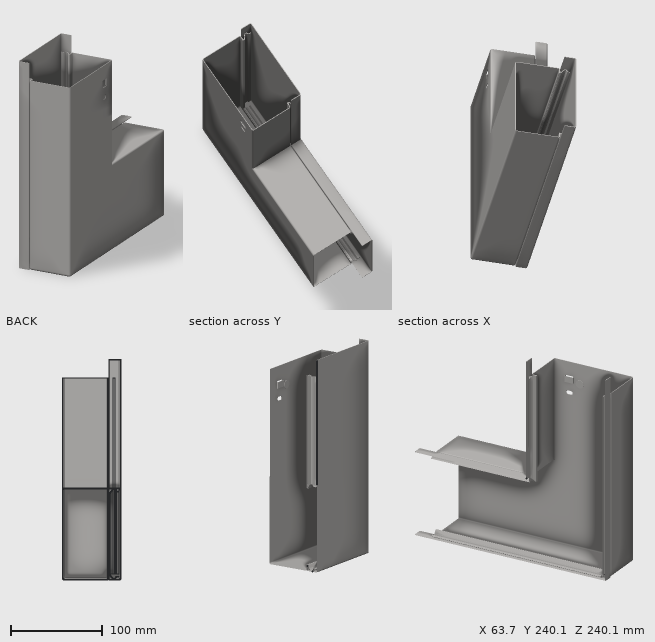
import cadquery as cq

COVER_LENGTH_Y = 240.09
COVER_LENGTH_Z = 240.06
BASE_LENGTH = 220.0
ARM_WIDTH = 100.0
TOTAL_DEPTH = 63.68

COVER_SHEET = 0.8
COVER_DEPTH = 13.3
COVER_BEND = 2.0
COVER_EDGE_ROUND = 0.7

BASE_SHEET = 0.7
BASE_FRONT = 13.9
CORNER_ROUND = 2.7
FLOOR_BEND = 2.0
SHOULDER_BEND = 1.5
BASE_FLOOR_INSIDE = TOTAL_DEPTH - BASE_SHEET

RAIL_DEPTH = 6.8
RAIL_TIP_X = 2.3
RAIL_STEP_X = 4.7
RAIL_CREST_X = 6.5
RAIL_SLOPE_X = 8.8
RAIL_SLOPE_DEPTH = 1.0
RAIL_KINK_X = 10.8
RAIL_KINK_DEPTH = 2.9
RAIL_STEP_DEPTH = 3.2
RAIL_CREST_DEPTH = COVER_SHEET
RAIL_RIDGE_X = 12.9
RAIL_ROOT_DEPTH = 2.5

SLOT_Y = 80.7
SLOT_Z = 183.0
SLOT_LENGTH = 8.0
SLOT_WIDTH = 4.5
LUG_Z = 199.0
LUG_WIDTH = 11.0
WINDOW_WIDTH = LUG_WIDTH - 2 * BASE_SHEET
WINDOW_HEIGHT = 8.6
LUG_HEIGHT = 7.0
LUG_RISE = 1.6
BOSS_Y = 67.7
BOSS_Z = 196.0
BOSS_DIAMETER = 9.7
BOSS_RISE = 0.5

SWAP_ARMS = (0, 1, -1)


def l_prism(x_start, x_end, inset, reach):
    """L-shaped block between two X planes, its sides moved in by inset."""
    far = ARM_WIDTH - inset
    return (
        cq.Workplane("YZ", origin=(x_start, 0, 0))
        .moveTo(inset, inset)
        .lineTo(reach, inset)
        .lineTo(reach, far)
        .lineTo(far, far)
        .lineTo(far, reach)
        .lineTo(inset, reach)
        .close()
        .extrude(x_end - x_start)
    )


def upright_side(depth):
    """Wedge of space on the upright arm's side of the mitre plane."""
    reach = max(COVER_LENGTH_Y, COVER_LENGTH_Z)
    return (
        cq.Workplane("YZ")
        .polyline([(0, 0), (reach, reach), (0, reach)])
        .close()
        .extrude(depth)
    )


def upright_cover(length):
    """One mitred cover: a shallow channel open toward +X."""
    outside = (
        cq.Workplane("XY")
        .rect(COVER_DEPTH, ARM_WIDTH, centered=False)
        .extrude(length)
        .edges("|Z and <X")
        .fillet(COVER_BEND)
        .edges("|Z and >X")
        .fillet(COVER_EDGE_ROUND)
    )
    inside = (
        cq.Workplane("XY", origin=(COVER_SHEET, COVER_SHEET, 0))
        .rect(COVER_DEPTH, ARM_WIDTH - 2 * COVER_SHEET, centered=False)
        .extrude(length)
        .edges("|Z and <X")
        .fillet(COVER_BEND - COVER_SHEET)
    )
    return outside.cut(inside).intersect(upright_side(COVER_DEPTH))


def round_corner(block, inset, radius):
    """Round the block's edge along X at the outer corner of the L."""
    corner = (TOTAL_DEPTH / 2, inset, inset)
    return block.edges(cq.selectors.NearestToPointSelector(corner)).fillet(radius)


def bend_long_edges(block, side, radius):
    """Round the edges of one X face, leaving the two open arm ends square."""
    return block.faces(side).edges("not (>Y or >Z)").fillet(radius)


def base_tub():
    """L-shaped tub with open ends and a shoulder turned in along its front."""
    outside = l_prism(BASE_FRONT, TOTAL_DEPTH, 0, BASE_LENGTH)
    outside = round_corner(outside, 0, CORNER_ROUND)
    inner_reach = BASE_LENGTH + BASE_SHEET
    inside = l_prism(BASE_FRONT + BASE_SHEET, BASE_FLOOR_INSIDE, BASE_SHEET, inner_reach)
    inside = round_corner(inside, BASE_SHEET, CORNER_ROUND - BASE_SHEET)
    outside = bend_long_edges(outside, ">X", FLOOR_BEND)
    outside = bend_long_edges(outside, "<X", SHOULDER_BEND)
    inside = bend_long_edges(inside, ">X", FLOOR_BEND - BASE_SHEET)
    mouth = l_prism(0, TOTAL_DEPTH / 2, RAIL_DEPTH, inner_reach)
    return outside.cut(inside).cut(mouth)


def rail_profile():
    """Closed snap-rail outline as (x, depth) points."""
    t = BASE_SHEET
    return [
        (BASE_FRONT + t, RAIL_ROOT_DEPTH),
        (BASE_FRONT, RAIL_ROOT_DEPTH),
        (RAIL_RIDGE_X, RAIL_DEPTH - t),
        (RAIL_KINK_X, RAIL_KINK_DEPTH),
        (RAIL_SLOPE_X, RAIL_SLOPE_DEPTH),
        (RAIL_CREST_X, RAIL_CREST_DEPTH),
        (RAIL_STEP_X, RAIL_STEP_DEPTH),
        (RAIL_TIP_X, RAIL_STEP_DEPTH),
        (RAIL_TIP_X, RAIL_STEP_DEPTH + t),
        (RAIL_STEP_X + t, RAIL_STEP_DEPTH + t),
        (RAIL_CREST_X + t / 2, RAIL_CREST_DEPTH + t),
        (RAIL_SLOPE_X - t / 2, RAIL_SLOPE_DEPTH + t),
        (RAIL_KINK_X - t / 2, RAIL_KINK_DEPTH + t),
        (RAIL_RIDGE_X - t, RAIL_DEPTH),
        (RAIL_RIDGE_X + t, RAIL_DEPTH),
    ]


def upright_rails():
    """Rails of the upright arm: the outer one stops short of the corner."""
    outer = (
        cq.Workplane("XY", origin=(0, 0, RAIL_DEPTH))
        .polyline(rail_profile())
        .close()
        .extrude(BASE_LENGTH - RAIL_DEPTH)
    )
    inner = (
        cq.Workplane("XY")
        .polyline([(x, ARM_WIDTH - depth) for x, depth in rail_profile()])
        .close()
        .extrude(BASE_LENGTH)
        .intersect(upright_side(TOTAL_DEPTH))
    )
    return outer.union(inner)


def floor_block(y, z, width, height, x_start, x_end):
    """Block centred on a point of the upright arm's floor."""
    return (
        cq.Workplane("YZ", origin=(x_start, y, z))
        .rect(width, height)
        .extrude(x_end - x_start)
    )


def add_earth_terminal(base):
    """Fixing slot, lanced terminal lug and round boss in the floor."""
    slot = (
        cq.Workplane("YZ", origin=(BASE_FLOOR_INSIDE, SLOT_Y, SLOT_Z))
        .slot2D(SLOT_LENGTH, SLOT_WIDTH)
        .extrude(BASE_SHEET)
    )
    window = floor_block(
        SLOT_Y, LUG_Z, WINDOW_WIDTH, WINDOW_HEIGHT, BASE_FLOOR_INSIDE, TOTAL_DEPTH
    )
    lug = floor_block(
        SLOT_Y, LUG_Z, LUG_WIDTH, LUG_HEIGHT, BASE_FLOOR_INSIDE - LUG_RISE, BASE_FLOOR_INSIDE
    )
    under_lug = floor_block(
        SLOT_Y, LUG_Z, WINDOW_WIDTH, LUG_HEIGHT,
        BASE_FLOOR_INSIDE - LUG_RISE + BASE_SHEET, BASE_FLOOR_INSIDE,
    )
    boss = (
        cq.Workplane("YZ", origin=(BASE_FLOOR_INSIDE - BOSS_RISE, BOSS_Y, BOSS_Z))
        .circle(BOSS_DIAMETER / 2)
        .extrude(BOSS_RISE)
    )
    return base.cut(slot).cut(window).union(lug.cut(under_lug)).union(boss)


def build_base():
    """Tub, snap rails of both arms and the earth terminal as one body."""
    rails = upright_rails()
    base = base_tub().union(rails).union(rails.mirror(SWAP_ARMS))
    return add_earth_terminal(base)


base = build_base()
cover_upright = upright_cover(COVER_LENGTH_Z)
cover_level = upright_cover(COVER_LENGTH_Y).mirror(SWAP_ARMS)

result = cq.Compound.makeCompound([body.solids().val() for body in (base, cover_upright, cover_level)])